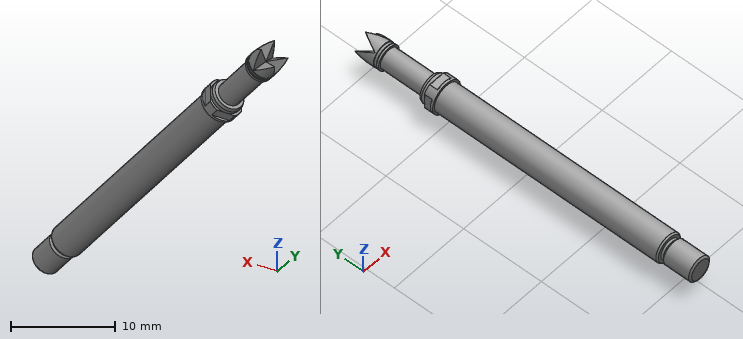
import cadquery as cq
import math

TOTAL_LENGTH = 43.1
TIP_Y = TOTAL_LENGTH / 2

HEAD_RADIUS = 3.0 / 2
VALLEY_DEPTH = 2.2
CENTER_DEPTH = 1.65
TOOTH_COUNT = 4
GROOVE_RADIUS = 2.85 / 2
GROOVE_START = 2.35
GROOVE_END = 2.67
GROOVE_CHAMFER = 0.1
HEAD_RING_RADIUS = 2.97 / 2
HEAD_END = 3.0

SHAFT_RADIUS = 2.5 / 2

BARREL_RADIUS = 3.5 / 2
BARREL_START = 8.45
BARREL_END = 39.15
FRONT_CHAMFER_LENGTH = 0.3
FRONT_CHAMFER_WIDTH = 0.15
REAR_CHAMFER_LENGTH = 0.2
REAR_CHAMFER_WIDTH = 0.15

COLLAR_RADIUS = 4.0 / 2
COLLAR_START = 9.15
COLLAR_END = 10.45
COLLAR_RIM = 0.3

TAIL_RADIUS = HEAD_RADIUS
NECK_RADIUS = SHAFT_RADIUS
NECK_END = 39.45
TAIL_SHOULDER = NECK_END + TAIL_RADIUS - NECK_RADIUS
TAIL_CHAMFER_LENGTH = 0.17
TAIL_CHAMFER_WIDTH = 0.25


def revolve_profile(points):
    """Revolve an outline of (radius, station) points about the Y axis."""
    outline = [(radius, TIP_Y - station) for radius, station in points]
    return cq.Workplane("XY").polyline(outline).close().revolve(360, (0, 0), (0, 1))


def cylinder(radius, start, end):
    """Solid cylinder on the Y axis between two stations."""
    return revolve_profile([(0, start), (radius, start), (radius, end), (0, end)])


def make_head():
    """Crown whose teeth are sloping roofs, with a shallow groove and a ring behind them."""
    diagonal = HEAD_RADIUS * math.cos(math.pi / TOOTH_COUNT)
    ridge_slope = CENTER_DEPTH / HEAD_RADIUS
    ridge_depth_at_valley = (HEAD_RADIUS - diagonal) * ridge_slope
    side_slope = (VALLEY_DEPTH - ridge_depth_at_valley) / diagonal
    roof_half_width = 2 * HEAD_RADIUS
    eave_y = TIP_Y - roof_half_width * side_slope
    gable = cq.Wire.makePolygon(
        [
            cq.Vector(HEAD_RADIUS, TIP_Y, 0),
            cq.Vector(HEAD_RADIUS, eave_y, roof_half_width),
            cq.Vector(HEAD_RADIUS, eave_y, -roof_half_width),
        ],
        close=True,
    )
    ridge = cq.Vector(-2 * HEAD_RADIUS, -2 * CENTER_DEPTH, 0)
    roof = cq.Workplane(cq.Solid.extrudeLinear(gable, [], ridge))
    head = revolve_profile([
        (0, GROOVE_START),
        (GROOVE_RADIUS, GROOVE_START),
        (GROOVE_RADIUS, GROOVE_END),
        (HEAD_RING_RADIUS, GROOVE_END + GROOVE_CHAMFER),
        (HEAD_RING_RADIUS, HEAD_END),
        (0, HEAD_END),
    ])
    crown = cylinder(HEAD_RADIUS, 0, GROOVE_START)
    for index in range(TOOTH_COUNT):
        turned_roof = roof.rotate((0, 0, 0), (0, 1, 0), index * 360 / TOOTH_COUNT)
        head = head.union(crown.intersect(turned_roof))
    return head


def make_barrel():
    """Long barrel, chamfered at both ends."""
    return revolve_profile([
        (0, BARREL_START),
        (BARREL_RADIUS - FRONT_CHAMFER_WIDTH, BARREL_START),
        (BARREL_RADIUS, BARREL_START + FRONT_CHAMFER_LENGTH),
        (BARREL_RADIUS, BARREL_END - REAR_CHAMFER_LENGTH),
        (BARREL_RADIUS - REAR_CHAMFER_WIDTH, BARREL_END),
        (0, BARREL_END),
    ])


def make_collar():
    """Collar with four flats level with the barrel, ending in a full round rim."""
    rim_start = COLLAR_END - COLLAR_RIM
    flats_length = rim_start - COLLAR_START
    flats_center = TIP_Y - (COLLAR_START + rim_start) / 2
    square = cq.Workplane("XY").box(2 * BARREL_RADIUS, flats_length, 2 * BARREL_RADIUS)
    flats = cylinder(COLLAR_RADIUS, COLLAR_START, rim_start).intersect(
        square.translate((0, flats_center, 0))
    )
    return flats.union(cylinder(COLLAR_RADIUS, rim_start, COLLAR_END))


def make_tail():
    """Neck and thicker tail with a conical shoulder and a chamfered end."""
    return revolve_profile([
        (0, BARREL_END),
        (NECK_RADIUS, BARREL_END),
        (NECK_RADIUS, NECK_END),
        (TAIL_RADIUS, TAIL_SHOULDER),
        (TAIL_RADIUS, TOTAL_LENGTH - TAIL_CHAMFER_LENGTH),
        (TAIL_RADIUS - TAIL_CHAMFER_WIDTH, TOTAL_LENGTH),
        (0, TOTAL_LENGTH),
    ])


shaft = cylinder(SHAFT_RADIUS, HEAD_END, BARREL_START)
result = make_head().union(shaft).union(make_barrel()).union(make_collar()).union(make_tail())